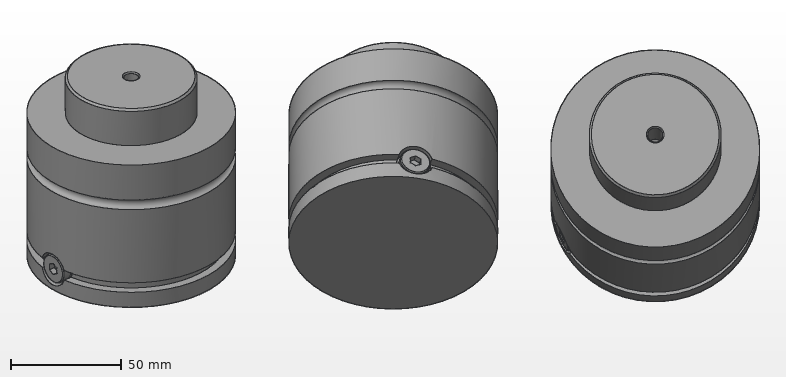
import cadquery as cq
import math

body_diameter = 95.0
body_height = 75.0
body_radius = body_diameter / 2

rod_diameter = 60.0
total_height = 94.0
rod_chamfer = 1.0

round_groove_radius = 2.5
round_groove_height = 54.0

square_groove_bottom = 8.0
square_groove_width = 5.0
square_groove_depth = 4.0
square_groove_top = square_groove_bottom + square_groove_width
square_groove_radius = body_radius - square_groove_depth

hole_diameter = 6.8
hole_mouth_diameter = 8.0
hole_depth = 16.0
drill_point_angle = 118.0

bore_diameter = 16.0
bore_floor_radius = 42.5
screw_diameter = 14.0
screw_face_radius = 47.0
screw_chamfer = 0.5
screw_height = (square_groove_bottom + square_groove_top) / 2
hex_across_flats = 5.0
hex_depth = 3.0


def make_body():
    """Revolve the body and rod, with both ring grooves, about Z."""
    rod_radius = rod_diameter / 2
    profile = (
        cq.Workplane("XZ")
        .lineTo(body_radius, 0)
        .lineTo(body_radius, square_groove_bottom)
        .lineTo(square_groove_radius, square_groove_bottom)
        .lineTo(square_groove_radius, square_groove_top)
        .lineTo(body_radius, square_groove_top)
        .lineTo(body_radius, round_groove_height - round_groove_radius)
        .threePointArc(
            (body_radius - round_groove_radius, round_groove_height),
            (body_radius, round_groove_height + round_groove_radius),
        )
        .lineTo(body_radius, body_height)
        .lineTo(rod_radius, body_height)
        .lineTo(rod_radius, total_height - rod_chamfer)
        .lineTo(rod_radius - rod_chamfer, total_height)
        .lineTo(0, total_height)
        .close()
    )
    return profile.revolve(360, (0, 0, 0), (0, 1, 0))


def make_rod_hole():
    """Blind drilled hole with a 45 degree mouth chamfer and a conical point."""
    hole_radius = hole_diameter / 2
    mouth_radius = hole_mouth_diameter / 2
    mouth_depth = mouth_radius - hole_radius
    point_depth = hole_radius / math.tan(math.radians(drill_point_angle / 2))
    profile = (
        cq.Workplane("XZ")
        .moveTo(0, total_height)
        .lineTo(mouth_radius, total_height)
        .lineTo(hole_radius, total_height - mouth_depth)
        .lineTo(hole_radius, total_height - hole_depth)
        .lineTo(0, total_height - hole_depth - point_depth)
        .close()
    )
    return profile.revolve(360, (0, 0, 0), (0, 1, 0))


def radial_plane(radius):
    """Workplane facing -Y at the given distance from the part axis, centred on the screw."""
    return cq.Workplane("XZ", origin=(0, -radius, screw_height))


def make_screw_bore():
    """Flat-bottomed bore that opens through the outer wall."""
    return radial_plane(bore_floor_radius).circle(bore_diameter / 2).extrude(body_radius - bore_floor_radius)


def make_screw():
    """Chamfered screw head rising from the bore floor, with a hexagon socket."""
    head_height = screw_face_radius - bore_floor_radius
    head = (
        radial_plane(bore_floor_radius)
        .circle(screw_diameter / 2)
        .extrude(head_height)
        .faces("<Y")
        .chamfer(screw_chamfer)
    )
    hex_across_corners = hex_across_flats / math.cos(math.pi / 6)
    socket = (
        radial_plane(screw_face_radius)
        .transformed(rotate=(0, 0, 90))
        .polygon(6, hex_across_corners)
        .extrude(-hex_depth)
    )
    return head.cut(socket)


result = make_body().cut(make_rod_hole()).cut(make_screw_bore()).union(make_screw())